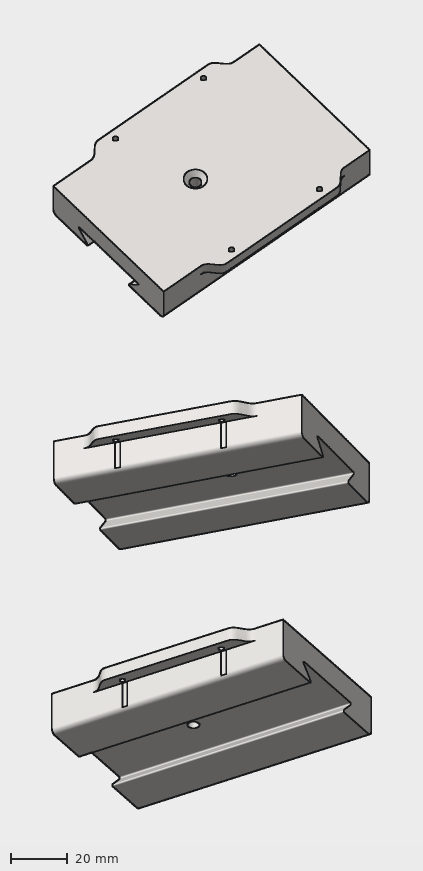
import cadquery as cq
import math

length = 95.0
overall_width = 70.0
body_width = 60.0
height = 16.2
body_edge_radius = 2.0

flange_thickness = 5.0
flange_center_y = 2.8
flange_root_length = 66.1
flange_outer_length = 50.35
flange_curve_handle = 3.6

slot_depth = 6.4
slot_mouth_width = 20.9
slot_roof_width = slot_mouth_width + 2 * slot_depth
slot_corner_radius = 0.5

screw_diameter = 2.0
screw_spacing_x = 63.1
screw_spacing_y = 40.6
nut_across_flats = 3.3
hexagon_turn = 30.0
nut_across_corners = nut_across_flats / math.cos(math.radians(hexagon_turn))

center_hole_diameter = 4.3
countersink_diameter = 8.4
countersink_angle = 90.0
center_hole_y = -7.4


def make_body():
    """Rectangular bar along Y with rounded lower edges."""
    bar = cq.Workplane("XY").box(body_width, length, height, centered=(True, True, False))
    return bar.edges("|Y and <Z").fillet(body_edge_radius)


def make_flanges():
    """Plate whose two ears stand out from the body sides, with smooth S-shaped ends."""
    root_x = body_width / 2
    outer_x = overall_width / 2
    root_y = flange_root_length / 2
    outer_y = flange_outer_length / 2

    def s_curve(start, end, along_y):
        """Control points of a curve that leaves and arrives parallel to Y."""
        handle = math.copysign(flange_curve_handle, along_y)
        return [start, (start[0], start[1] + handle), (end[0], end[1] - handle), end]

    return (
        cq.Workplane("XY", origin=(0, flange_center_y, height))
        .moveTo(root_x, -root_y)
        .bezier(s_curve((root_x, -root_y), (outer_x, -outer_y), 1))
        .lineTo(outer_x, outer_y)
        .bezier(s_curve((outer_x, outer_y), (root_x, root_y), 1))
        .lineTo(-root_x, root_y)
        .bezier(s_curve((-root_x, root_y), (-outer_x, outer_y), -1))
        .lineTo(-outer_x, -outer_y)
        .bezier(s_curve((-outer_x, -outer_y), (-root_x, -root_y), -1))
        .close()
        .extrude(-flange_thickness)
    )


def make_dovetail():
    """Dovetail slot running the full length, with rounded roof corners."""
    half_mouth = slot_mouth_width / 2
    half_roof = slot_roof_width / 2
    return (
        cq.Workplane("XZ", origin=(0, length / 2, 0))
        .polyline([(-half_mouth, 0), (half_mouth, 0), (half_roof, slot_depth), (-half_roof, slot_depth)])
        .close()
        .extrude(length)
        .edges("|Y and >Z")
        .fillet(slot_corner_radius)
    )


def round_slot_lips(part):
    """Round the two acute lips at the mouth of the dovetail."""
    for side in (-1, 1):
        lip = cq.selectors.NearestToPointSelector((side * slot_mouth_width / 2, 0, 0))
        part = part.edges("|Y").edges(lip).fillet(slot_corner_radius)
    return part


def cut_screw_holes(part):
    """Drill the flanges and relieve the body sides for the nuts below."""
    for x in (-screw_spacing_x / 2, screw_spacing_x / 2):
        for y in (-screw_spacing_y / 2, screw_spacing_y / 2):
            nut = (
                cq.Workplane("XY")
                .polygon(6, nut_across_corners)
                .extrude(height - flange_thickness)
                .rotate((0, 0, 0), (0, 0, 1), hexagon_turn)
                .translate((x, flange_center_y + y, 0))
            )
            part = part.cut(nut)
    return (
        part.faces(">Z")
        .workplane(origin=(0, flange_center_y, height))
        .rarray(screw_spacing_x, screw_spacing_y, 2, 2)
        .hole(screw_diameter)
    )


def cut_center_hole(part):
    """Countersunk through hole from the top face."""
    return (
        part.faces(">Z")
        .workplane(origin=(0, center_hole_y, height))
        .cskHole(center_hole_diameter, countersink_diameter, countersink_angle)
    )


body = round_slot_lips(make_body().cut(make_dovetail()))
plate = body.union(make_flanges())
result = cut_center_hole(cut_screw_holes(plate))